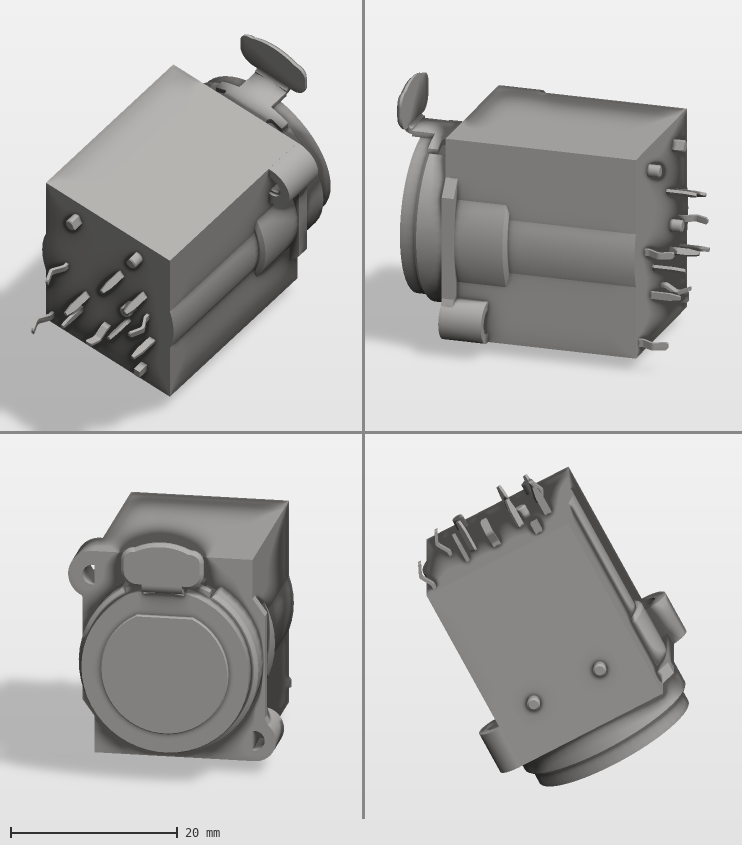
import cadquery as cq
import math


box_half_width = 9.62
box_top = 12.8
box_bottom = -12.45
box_depth = 24.0
box_rear = -box_depth

shell_radius = 10.2
shell_front = 5.6
collar_radius = 10.95
collar_front = 3.75
collar_rear = -8.05
collar_chamfer = 0.43

disc_radius = 7.8
disc_height = 0.5
disc_flat_height = 7.0
disc_chamfer = 0.15

flange_thickness = 1.5
flange_half_width = 11.13
flange_corner = 5.8
flange_slope_end = 7.9
flange_root = 7.0
root_x = 11.5
root_z = 7.85
ear_depth = 5.4
ear_center_x = 9.87
lower_ear_radius = 2.6
upper_ear_radius = 2.98
screw_hole_radius = 1.22
screw_recess_radius = 1.55
screw_recess_depth = 0.35
web_foot_z = 6.28
web_middle = (10.37, 6.95)
web_end = (11.35, 7.4)

rear_peg_radius = 0.75
rear_peg_length = 1.47
rear_peg_chamfer = 0.15
upper_peg_x = 4.65
upper_peg_z = 9.85
upper_peg_flat = 0.5
upper_peg_flat_tilt = 25
center_peg_x = 3.75
key_center = (5.67, -9.73)
key_width = 0.85
key_height = 1.08
bottom_peg_radius = 0.8
bottom_peg_length = 1.5
bottom_peg_chamfer = 0.2
bottom_peg_x = 4.5
bottom_peg_y = -6.42

latch_radius = 10.87
latch_half_width = 5.1
latch_neck_half_width = 2.45
hook_half_width = 3.3
hook_radius = 0.43
hook_front = 2.5
foot_half_width = 4.02
foot_front = 1.5
window_half_width = 1.8
window_height = 0.6
window_corner = 0.2
slot_half_width = 5.17
slot_outer_half_width = 5.92
slot_edge_z = 9.22
slot_round_middle = (5.45, 9.1)
bend_inner_radius = 0.43
lever_front = 7.8
lever_thickness = 0.7
bend_outer_radius = bend_inner_radius + lever_thickness
lever_half_width = 5.02
lever_bottom = 11.05
lever_shoulder = 14.43
lever_top = 16.65
lever_bottom_radius = 1.97
lever_edge_chamfer = 0.4
lever_arc_half_width = 3.4
lever_arc_end_z = 15.85
lever_corner_middle = (4.63, 15.35)

terminal_thickness = 0.4
blade_width = 0.85
blade_length = 3.75
blade_taper = 1.33
blade_tip_width = 0.43
long_blade_length = 4.1
contact_length = 3.75
contact_kink = 0.85
contact_foot = 0.6
contact_apex = 2.05
contact_tip_shift = 0.1
contact_bend_radius = 0.57
contact_tip_chamfer = 0.18
contact_radius = 6.28
contact_width = 0.8
wide_contact_width = 0.95
ground_contact_x = -8.5
ground_contact_z = -10.75

loose_blades = [
    (2.1, 4.77, -45, blade_length),
    (5.7, 3.6, -45, blade_length),
    (-3.2, -3.05, -45, long_blade_length),
    (3.2, -3.05, 45, blade_length),
]
fixed_blades = [
    (6.93, -3.8, 0, blade_length),
    (-4.0, -6.25, 90, blade_length),
]
kinked_contacts = [
    (-contact_radius, 0, 180, contact_width),
    (contact_radius, 0, 0, contact_width),
    (0, -contact_radius, -90, wide_contact_width),
    (ground_contact_x, ground_contact_z, 180, wide_contact_width),
]


def xz_plane(y):
    """Plane across the socket axis; a positive extrusion goes towards -Y."""
    return cq.Workplane("XZ", origin=(0, y, 0))


def cylinder_y(radius, front, rear, x=0, z=0):
    return xz_plane(front).center(x, z).circle(radius).extrude(front - rear)


def block(x_range, y_range, z_range):
    """Box given by its two limits along each axis."""
    sizes = [limits[1] - limits[0] for limits in (x_range, y_range, z_range)]
    corner = (x_range[0], y_range[0], z_range[0])
    return cq.Workplane("XY").box(*sizes, centered=False).translate(corner)


def make_shell():
    box = block((-box_half_width, box_half_width), (box_rear, 0), (box_bottom, box_top))
    barrel = cylinder_y(shell_radius, shell_front, box_rear)
    collar = cylinder_y(collar_radius, collar_front, collar_rear).edges().chamfer(collar_chamfer)
    return box.union(barrel).union(collar.cut(make_latch_slot()))


def make_latch_slot():
    """Slot at the top of the collar, with rounded edges."""
    edge_foot_z = math.sqrt(shell_radius**2 - slot_half_width**2)
    round_x, round_z = slot_round_middle
    return (
        xz_plane(collar_front)
        .moveTo(-slot_half_width, 0)
        .lineTo(-slot_half_width, edge_foot_z)
        .threePointArc((-round_x, round_z), (-slot_outer_half_width, slot_edge_z))
        .lineTo(-slot_outer_half_width, collar_radius)
        .lineTo(slot_outer_half_width, collar_radius)
        .lineTo(slot_outer_half_width, slot_edge_z)
        .threePointArc((round_x, round_z), (slot_half_width, edge_foot_z))
        .lineTo(slot_half_width, 0)
        .close()
        .extrude(collar_front)
    )


def make_face_disc():
    disc_front = shell_front + disc_height
    disc = cylinder_y(disc_radius, disc_front, shell_front)
    kept = block(
        (-disc_radius, disc_radius),
        (shell_front, disc_front),
        (-disc_radius, disc_flat_height),
    )
    return disc.intersect(kept).faces(">Y").edges().chamfer(disc_chamfer)


def make_flange():
    """Plate with two sloped corners; the other two corners run into the ears."""
    half_outline = [
        (flange_half_width, flange_root),
        (flange_half_width, -flange_corner),
        (box_half_width, -flange_slope_end),
        (-box_half_width, -flange_slope_end),
        (-root_x, -root_z),
    ]
    outline = half_outline + [(-x, -z) for x, z in half_outline]
    return xz_plane(0).polyline(outline).close().extrude(flange_thickness)


def make_ear(x, z, radius):
    """Screw ear with a through hole and a shallow round recess at its rear."""
    recess_floor = screw_recess_depth - ear_depth
    ear = cylinder_y(radius, 0, -ear_depth, x, z)
    hole = cylinder_y(screw_hole_radius, 0, -ear_depth, x, z)
    recess = cylinder_y(screw_recess_radius, recess_floor, -ear_depth, x, z)
    return ear.cut(hole).cut(recess)


def make_ears():
    """Two screw ears beside the box, the upper one with a web down to the box side."""
    lower_z = box_bottom + lower_ear_radius
    upper_z = box_top - upper_ear_radius
    lower_ear = make_ear(-ear_center_x, lower_z, lower_ear_radius)
    upper_ear = make_ear(ear_center_x, upper_z, upper_ear_radius)
    web = (
        xz_plane(0)
        .moveTo(box_half_width, web_foot_z)
        .threePointArc(web_middle, web_end)
        .lineTo(ear_center_x, upper_z - screw_recess_radius)
        .lineTo(box_half_width, upper_z - screw_recess_radius)
        .close()
        .extrude(ear_depth)
    )
    return lower_ear.union(upper_ear).union(web)


def make_rear_peg(x, z):
    peg_end = box_rear - rear_peg_length
    peg = cylinder_y(rear_peg_radius, box_rear, peg_end, x, z)
    return peg.faces("<Y").chamfer(rear_peg_chamfer)


def make_pegs():
    pegs = make_rear_peg(center_peg_x, 0)
    for side in (-1, 1):
        peg = make_rear_peg(side * upper_peg_x, upper_peg_z)
        cutter = block(
            (upper_peg_flat, 2 * rear_peg_radius),
            (box_rear - rear_peg_length, box_rear),
            (-rear_peg_radius, rear_peg_radius),
        )
        flat_angle = upper_peg_flat_tilt if side < 0 else 180 - upper_peg_flat_tilt
        cutter = cutter.rotate((0, 0, 0), (0, -1, 0), flat_angle)
        pegs = pegs.union(peg.cut(cutter.translate((side * upper_peg_x, 0, upper_peg_z))))

        bottom_peg = (
            cq.Workplane("XY", origin=(side * bottom_peg_x, bottom_peg_y, box_bottom))
            .circle(bottom_peg_radius)
            .extrude(-bottom_peg_length)
            .faces("<Z")
            .chamfer(bottom_peg_chamfer)
        )
        pegs = pegs.union(bottom_peg)
    key = xz_plane(box_rear).center(*key_center).rect(key_width, key_height).extrude(rear_peg_length)
    return pegs.union(key)


def make_blade(x, z, angle, length):
    """Straight terminal with a tapered tip, standing on the rear face of the box."""
    half_width = blade_width / 2
    half_tip = blade_tip_width / 2
    outline = [
        (-half_width, 0),
        (half_width, 0),
        (half_width, blade_taper - length),
        (half_tip, -length),
        (-half_tip, -length),
        (-half_width, blade_taper - length),
    ]
    blade = cq.Workplane("XY").polyline(outline).close().extrude(terminal_thickness / 2, both=True)
    return blade.rotate((0, 0, 0), (0, -1, 0), angle).translate((x, box_rear, z))


def make_kinked_contact(x, z, direction, width):
    """Terminal bent sideways and back again, with rounded bends and chamfered tip corners."""
    center_line = [
        (0, 0),
        (0, -contact_foot),
        (contact_kink, -contact_apex),
        (contact_tip_shift, -contact_length),
    ]
    half_thickness = terminal_thickness / 2
    left_side = [(px - half_thickness, py) for px, py in center_line]
    right_side = [(px + half_thickness, py) for px, py in reversed(center_line)]
    contact = cq.Workplane("XY").polyline(left_side + right_side).close()
    contact = contact.extrude(width / 2, both=True)
    bends = cq.selectors.BoxSelector(
        (-contact_kink, -contact_foot / 2, -width),
        (2 * contact_kink, -(contact_apex + contact_length) / 2, width),
    )
    contact = contact.edges("|Z").edges(bends).fillet(contact_bend_radius)
    contact = contact.faces("<Y").edges("|X").chamfer(contact_tip_chamfer)
    return contact.rotate((0, 0, 0), (0, -1, 0), direction).translate((x, box_rear, z))


def make_housing():
    """Box, shell, flange and pegs in one piece, with the two blades fixed in it."""
    housing = make_shell().union(make_face_disc()).union(make_flange()).union(make_ears())
    housing = housing.union(make_pegs())
    for blade in fixed_blades:
        housing = housing.union(make_blade(*blade))
    return housing


def make_latch_plate():
    """Curved plate on the shell: a neck in front, and hook notches and a window at the rear."""
    foot_outline = [
        (foot_half_width, 0),
        (foot_half_width, foot_front),
        (hook_half_width, foot_front),
        (hook_half_width, hook_front),
        (latch_half_width, hook_front),
        (latch_half_width, collar_front),
        (latch_neck_half_width, collar_front),
        (latch_neck_half_width, lever_front - bend_outer_radius),
    ]
    outline = foot_outline + [(-x, y) for x, y in reversed(foot_outline)]
    plan = cq.Workplane("XY").polyline(outline).close().extrude(latch_radius)
    hook_ends = cq.selectors.BoxSelector(
        (-hook_half_width - hook_radius, foot_front / 2, -latch_radius),
        (hook_half_width + hook_radius, hook_front + hook_radius, 2 * latch_radius),
    )
    plan = plan.edges("|Z").edges(hook_ends).fillet(hook_radius)
    window = block((-window_half_width, window_half_width), (0, window_height), (0, latch_radius))
    window = window.edges("|Z and >Y").fillet(window_corner)
    ring = cylinder_y(latch_radius, lever_front, 0).cut(cylinder_y(shell_radius, lever_front, 0))
    return ring.intersect(plan.cut(window))


def make_latch_bend():
    """Quarter bend that turns the neck up into the lever."""
    start_y = lever_front - bend_outer_radius
    inner_y = lever_front - lever_thickness
    outline_end = lever_bottom + bend_outer_radius
    slant = math.sqrt(0.5)
    outer_center_z = shell_radius + bend_outer_radius
    inner_center_z = latch_radius + bend_inner_radius
    return (
        cq.Workplane("YZ", origin=(-latch_neck_half_width, 0, 0))
        .moveTo(start_y, shell_radius)
        .threePointArc(
            (start_y + bend_outer_radius * slant, outer_center_z - bend_outer_radius * slant),
            (lever_front, outer_center_z),
        )
        .lineTo(lever_front, outline_end)
        .lineTo(inner_y, outline_end)
        .lineTo(inner_y, inner_center_z)
        .threePointArc(
            (start_y + bend_inner_radius * slant, inner_center_z - bend_inner_radius * slant),
            (start_y, latch_radius),
        )
        .close()
        .extrude(2 * latch_neck_half_width)
    )


def make_lever():
    """Upright finger plate with a bowed top and a chamfered front edge."""
    corner_x, corner_z = lever_corner_middle
    lever = (
        xz_plane(lever_front)
        .moveTo(-lever_half_width, lever_bottom)
        .lineTo(-lever_half_width, lever_shoulder)
        .threePointArc((-corner_x, corner_z), (-lever_arc_half_width, lever_arc_end_z))
        .threePointArc((0, lever_top), (lever_arc_half_width, lever_arc_end_z))
        .threePointArc((corner_x, corner_z), (lever_half_width, lever_shoulder))
        .lineTo(lever_half_width, lever_bottom)
        .close()
        .extrude(lever_thickness)
    )
    lever = lever.edges("|Y and <Z").fillet(lever_bottom_radius)
    return lever.faces(">Y").edges().chamfer(lever_edge_chamfer)


def make_latch():
    return make_latch_plate().union(make_lever()).union(make_latch_bend())


housing = make_housing()
latch = make_latch()
blades = [make_blade(*blade) for blade in loose_blades]
contacts = [make_kinked_contact(*contact) for contact in kinked_contacts]

result = cq.Compound.makeCompound(
    [housing.val(), latch.val()]
    + [blade.val() for blade in blades]
    + [contact.val() for contact in contacts]
)